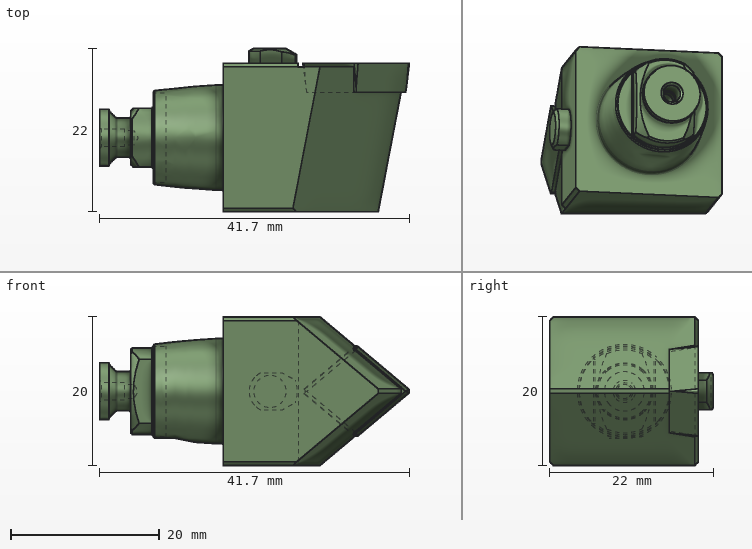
import cadquery as cq
import math


block_size = 20.0
half = block_size / 2
edge_chamfer = 0.5
point_angle = 80.0
relief_angle = 7.0
half_angle = math.radians(point_angle / 2)
nose_half_width = 0.3
nose_top = 24.7
relief_floor_depth = 0.5
relief_floor_start = 10.1
shank_length = 9.42
shank_collar_length = 1.0
shank_radius = 7.1
shank_mid_radius = 6.8
shank_end_radius = 6.35
shank_mid = -5.0
shank_chamfer = 0.2
shank_root_fillet = 0.15

insert_edge = 9.67
insert_thickness = 3.9
insert_nose_radius = 0.4
insert_tip = 25.05
corner_relief_width = 0.5
corner_relief_height = 1.65
corner_relief_start = 17.6

stud_length = 16.65
flange_radius = 3.85
flange_width = 1.3
flange_chamfer = 0.1
flange_step = 0.25
neck_radius = 2.65
neck_fillet = 0.15
nut_start = -12.45
nut_radius = 5.85
nut_chamfer = 0.25
nut_flat = 3.95
nut_flare = 0.2
nut_cone_offset = 7.55
nut_cone_radius = 11.15
plug_depth = 1.65
stud_hole_radius = 1.15
stud_hole_chamfer = 0.35
stud_hole_chamfer_depth = 0.2
stud_hole_depth = 3.35
stud_pilot_radius = 0.95
stud_pilot_depth = 4.6
drill_point_angle = 118.0
selection_margin = 0.05

nozzle_x = 6.25
nozzle_radius = 2.8
nozzle_half_width = 2.5
nozzle_height = 2.0
nozzle_taper_start = 7.9
nozzle_taper_end = 9.67
nozzle_front = 9.92
nozzle_front_half_width = 1.5
nozzle_crown_radius = 2.15
crown_angle = 30.0

flank_shear = math.tan(math.radians(relief_angle)) / math.sin(half_angle)
flank_length = (half - nose_half_width) / math.tan(half_angle)


def cylinder_x(radius, start, length):
    return cq.Workplane("YZ", origin=(start, 0, 0)).circle(radius).extrude(length)


def make_wedge():
    """Pointed prism whose front slides back along -X with depth."""
    def outline(nose_x):
        return [
            (0, -half),
            (nose_x - flank_length, -half),
            (nose_x, -nose_half_width),
            (nose_x, nose_half_width),
            (nose_x - flank_length, half),
            (0, half),
        ]

    top = cq.Workplane("XZ", origin=(0, half, 0)).polyline(outline(nose_top)).close()
    bottom_nose = nose_top - flank_shear * block_size
    return top.workplane(offset=block_size).polyline(outline(bottom_nose)).close().loft(ruled=True)


def make_block():
    bar = cq.Workplane("YZ").rect(block_size, block_size).extrude(nose_top).edges("|X").chamfer(edge_chamfer)
    step = cq.Workplane("XY").box(
        nose_top, relief_floor_depth, block_size, centered=(False, False, True)
    ).translate((relief_floor_start, half - relief_floor_depth, 0))
    return bar.intersect(make_wedge()).cut(step)


def make_shank():
    """Barrel-shaped shank with a short cylinder and a fillet at the block."""
    fillet = shank_root_fillet
    bow = fillet * (1 - math.sqrt(0.5))
    end = -shank_length
    return (
        cq.Workplane("XZ")
        .moveTo(end, 0)
        .lineTo(end, shank_end_radius - shank_chamfer)
        .lineTo(end + shank_chamfer, shank_end_radius)
        .threePointArc((shank_mid, shank_mid_radius), (-shank_collar_length, shank_radius))
        .lineTo(-fillet, shank_radius)
        .threePointArc((-bow, shank_radius + bow), (0, shank_radius + fillet))
        .lineTo(0, 0)
        .close()
        .revolve(360, (0, 0, 0), (1, 0, 0))
    )


def make_insert():
    """Rhombic insert with rounded corners; its sides taper inward below the cutting edge."""
    tip = insert_tip + insert_nose_radius * (1 / math.sin(half_angle) - 1)
    along = insert_edge * math.cos(half_angle)
    across = insert_edge * math.sin(half_angle)
    corners = [(tip, 0), (tip - along, across), (tip - 2 * along, 0), (tip - along, -across)]
    rhombus = cq.Sketch().polygon(corners + corners[:1]).vertices().fillet(insert_nose_radius)
    return (
        cq.Workplane("XZ", origin=(0, half, 0))
        .placeSketch(rhombus)
        .extrude(insert_thickness, taper=relief_angle)
    )


def make_corner_reliefs():
    """Clearance slots in the pocket beside the two side corners of the insert."""
    across = insert_edge * math.sin(half_angle)
    return (
        cq.Workplane("XZ", origin=(corner_relief_start, half, 0))
        .pushPoints([(corner_relief_width / 2, across), (corner_relief_width / 2, -across)])
        .rect(corner_relief_width, corner_relief_height)
        .extrude(insert_thickness)
    )


def make_head(insert):
    bore = cylinder_x(nut_radius + nut_flare, -shank_length, plug_depth)
    return make_block().union(make_shank()).cut(bore).cut(insert).cut(make_corner_reliefs())


def ring_around(x, radius):
    """Selects the edges of a given radius, or smaller, around the X axis at one x."""
    reach = radius + selection_margin
    return cq.selectors.BoxSelector(
        (x - selection_margin, -reach, -reach), (x + selection_margin, reach, reach), boundingbox=True
    )


def make_flange_and_neck():
    start = -stud_length
    cone_start = start + flange_width
    cone_radius = flange_radius - flange_step
    cone_end = cone_start + cone_radius - neck_radius
    turned = (
        cq.Workplane("XZ")
        .moveTo(start, 0)
        .lineTo(start, flange_radius)
        .lineTo(cone_start - flange_chamfer, flange_radius)
        .lineTo(cone_start, flange_radius - flange_chamfer)
        .lineTo(cone_start, cone_radius)
        .lineTo(cone_end, neck_radius)
        .lineTo(nut_start, neck_radius)
        .lineTo(nut_start, 0)
        .close()
        .revolve(360, (0, 0, 0), (1, 0, 0))
    )
    return turned.edges(ring_around(cone_end, neck_radius)).fillet(neck_fillet)


def make_nut():
    """Round nut section with two flats, conical chamfers and a 45 degree flare at the shank."""
    flare_start = -shank_length - nut_flare
    length = flare_start - nut_start
    turned = (
        cylinder_x(nut_radius, nut_start, length).faces("<X").chamfer(nut_chamfer)
        .faces(">X").workplane().circle(nut_radius).extrude(nut_flare, taper=-45)
    )
    flats = (
        cq.Workplane("YZ", origin=(nut_start, 0, 0)).rect(2 * nut_flat, 4 * nut_radius).extrude(length)
        .faces(">X").workplane().rect(2 * nut_flat, 4 * nut_radius).extrude(nut_flare, taper=-45)
    )
    nut = turned.intersect(flats)
    reach = length + nut_flare
    for side in (-1, 1):
        axis_point = cq.Vector(nut_start, side * nut_cone_offset, 0)
        cone = cq.Solid.makeCone(nut_cone_radius, nut_cone_radius + reach, reach, axis_point, cq.Vector(1, 0, 0))
        nut = nut.intersect(cq.Workplane(cone))
    return nut


def make_stud_hole():
    """Chamfered blind hole with a narrower pilot that ends in a drill point."""
    mouth = stud_hole_radius + stud_hole_chamfer
    point = stud_pilot_radius / math.tan(math.radians(drill_point_angle / 2))
    return (
        cq.Workplane("XZ", origin=(-stud_length, 0, 0))
        .polyline([
            (0, 0),
            (0, mouth),
            (stud_hole_chamfer_depth, stud_hole_radius),
            (stud_hole_depth, stud_hole_radius),
            (stud_hole_depth, stud_pilot_radius),
            (stud_pilot_depth, stud_pilot_radius),
            (stud_pilot_depth + point, 0),
        ])
        .close()
        .revolve(360, (0, 0, 0), (1, 0, 0))
    )


def make_pull_stud():
    plug = cylinder_x(nut_radius + nut_flare, -shank_length, plug_depth)
    stud = make_flange_and_neck().union(make_nut()).union(plug)
    stud = stud.edges(ring_around(nut_start, neck_radius)).fillet(neck_fillet)
    return stud.cut(make_stud_hole())


def make_nozzle():
    """Nozzle with a round rear, two flats, a tapered front and a conical crown."""
    flat_start = nozzle_x - math.sqrt(nozzle_radius**2 - nozzle_half_width**2)
    body = (
        cq.Workplane("XZ", origin=(0, half, 0))
        .moveTo(flat_start, nozzle_half_width)
        .lineTo(nozzle_taper_start, nozzle_half_width)
        .lineTo(nozzle_taper_end, nozzle_front_half_width)
        .threePointArc((nozzle_front, 0), (nozzle_taper_end, -nozzle_front_half_width))
        .lineTo(nozzle_taper_start, -nozzle_half_width)
        .lineTo(flat_start, -nozzle_half_width)
        .threePointArc((nozzle_x - nozzle_radius, 0), (flat_start, nozzle_half_width))
        .close()
        .extrude(-nozzle_height)
    )
    base_radius = nozzle_crown_radius + nozzle_height / math.tan(math.radians(crown_angle))
    crown = cq.Solid.makeCone(
        base_radius, nozzle_crown_radius, nozzle_height, cq.Vector(nozzle_x, half, 0), cq.Vector(0, 1, 0)
    )
    return body.intersect(cq.Workplane(crown))


insert = make_insert()
head = make_head(insert)
pull_stud = make_pull_stud()
nozzle = make_nozzle()

result = cq.Compound.makeCompound([head.val(), insert.val(), pull_stud.val(), nozzle.val()])